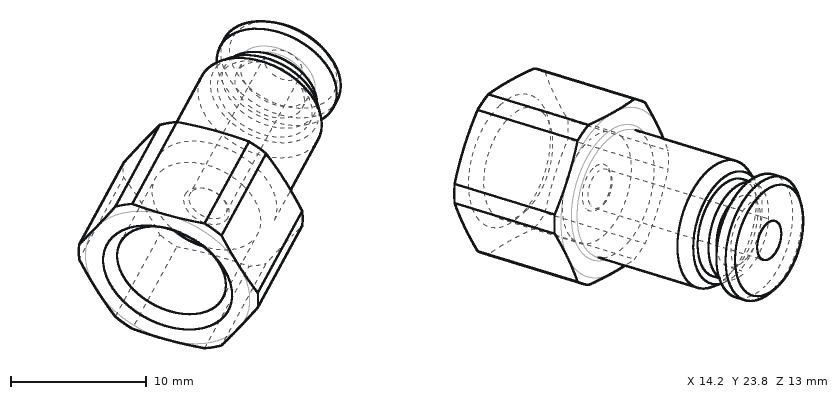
import cadquery as cq
import math


overall_length = 23.8

hex_sides = 6
hex_across_flats = 13.0
hex_corner_diameter = 14.2
hex_length = 9.5
hex_chamfer_angle = 15.0

body_diameter = 9.8
body_end_diameter = 8.6
body_chamfer_length = 1.0
body_fillet = 0.3

collar_diameter = 7.5
collar_length = 1.0
neck_diameter = 5.5
neck_fillet = 0.3
flange_diameter = 9.5
flange_thickness = 1.35
flange_chamfer = 0.5
neck_length = 1.45

port_diameter = 8.6
port_mouth_diameter = 10.2
port_depth = 8.0
passage_diameter = 3.0
passage_mouth_diameter = 3.6

front_y = -overall_length / 2
hex_back_y = front_y + hex_length
back_y = front_y + overall_length
flange_y = back_y - flange_thickness
collar_back_y = flange_y - neck_length
body_back_y = collar_back_y - collar_length


def revolve_profile(profile):
    """Turn a closed (radius, y) outline about the Y axis."""
    return profile.close().revolve(360, (0, 0, 0), (0, 1, 0))


def cone_between(start_y, start_diameter, end_y, end_diameter):
    """Solid frustum along Y; equal diameters give a cylinder."""
    profile = (
        cq.Workplane("XY")
        .moveTo(0, start_y)
        .lineTo(start_diameter / 2, start_y)
        .lineTo(end_diameter / 2, end_y)
        .lineTo(0, end_y)
    )
    return revolve_profile(profile)


def make_hexagon():
    """Hexagon with flats facing +Z and -Z, rounded corners and chamfered ends."""
    circumscribed_diameter = hex_across_flats / math.cos(math.pi / hex_sides)
    prism = (
        cq.Workplane("XZ", origin=(0, front_y, 0))
        .polygon(hex_sides, circumscribed_diameter)
        .extrude(-hex_length)
    )
    face_radius = hex_across_flats / 2
    corner_radius = hex_corner_diameter / 2
    chamfer_length = (corner_radius - face_radius) * math.tan(math.radians(hex_chamfer_angle))
    envelope = (
        cq.Workplane("XY")
        .moveTo(0, front_y)
        .lineTo(face_radius, front_y)
        .lineTo(corner_radius, front_y + chamfer_length)
        .lineTo(corner_radius, hex_back_y - chamfer_length)
        .lineTo(face_radius, hex_back_y)
        .lineTo(0, hex_back_y)
    )
    return prism.intersect(revolve_profile(envelope))


def make_turned_end():
    """Body, collar, neck and release flange behind the hexagon."""
    body_radius = body_diameter / 2
    neck_radius = neck_diameter / 2
    flange_radius = flange_diameter / 2
    mid_arc = 1 - math.sqrt(0.5)
    profile = (
        cq.Workplane("XY")
        .moveTo(0, hex_back_y)
        .lineTo(body_radius + body_fillet, hex_back_y)
        .threePointArc(
            (body_radius + body_fillet * mid_arc, hex_back_y + body_fillet * mid_arc),
            (body_radius, hex_back_y + body_fillet),
        )
        .lineTo(body_radius, body_back_y - body_chamfer_length)
        .lineTo(body_end_diameter / 2, body_back_y)
        .lineTo(collar_diameter / 2, body_back_y)
        .lineTo(collar_diameter / 2, collar_back_y)
        .lineTo(neck_radius, collar_back_y)
        .lineTo(neck_radius, flange_y - neck_fillet)
        .threePointArc(
            (neck_radius + neck_fillet * mid_arc, flange_y - neck_fillet * mid_arc),
            (neck_radius + neck_fillet, flange_y),
        )
        .lineTo(flange_radius, flange_y)
        .lineTo(flange_radius, back_y - flange_chamfer)
        .lineTo(flange_radius - flange_chamfer, back_y)
        .lineTo(0, back_y)
    )
    return revolve_profile(profile)


def cut_port(part):
    """Blind port in the hexagon with a 45 degree mouth chamfer."""
    mouth_depth = (port_mouth_diameter - port_diameter) / 2
    bore = cone_between(front_y, port_diameter, front_y + port_depth, port_diameter)
    mouth = cone_between(front_y, port_mouth_diameter, front_y + mouth_depth, port_diameter)
    return part.cut(bore).cut(mouth)


def cut_passage(part):
    """Through passage with a 45 degree chamfer at the port floor."""
    floor_y = front_y + port_depth
    mouth_depth = (passage_mouth_diameter - passage_diameter) / 2
    bore = cone_between(floor_y, passage_diameter, back_y, passage_diameter)
    mouth = cone_between(floor_y, passage_mouth_diameter, floor_y + mouth_depth, passage_diameter)
    return part.cut(bore).cut(mouth)


result = make_hexagon().union(make_turned_end())
result = cut_port(result)
result = cut_passage(result)